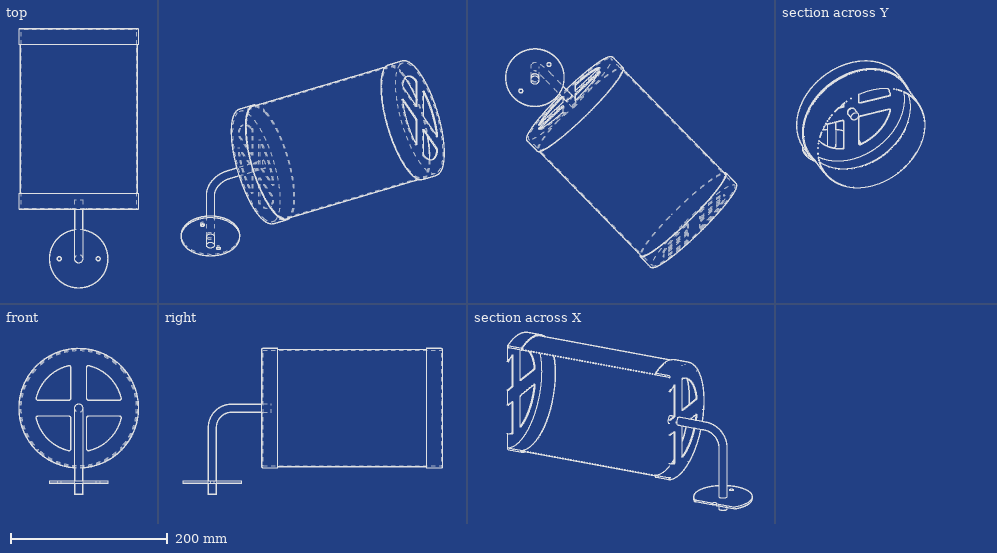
import cadquery as cq
import math

drum_length = 230.8
cap_diameter = 153.0
cap_length = 20.5
cap_edge_radius = 2.0
cap_plate_thickness = 1.5
tube_diameter = 150.0
tube_wall = 1.5

window_radius = 55.5
spoke_width = 20.5
window_corner_radius = 2.0
window_count = 4

overall_length = 331.0
overall_height = 186.5
rod_diameter = 10.5
bend_radius = 25.0
plate_diameter = 75.0
plate_thickness = 3.0
plate_drop = 94.5
screw_hole_diameter = 5.0
screw_hole_spacing = 49.7

rod_tip_y = 12.3

bore_diameter = tube_diameter - 2 * tube_wall
rod_y = drum_length - overall_length + plate_diameter / 2
rod_bottom = cap_diameter / 2 - overall_height
plate_bottom = -plate_drop - plate_thickness / 2


def cylinder_along_y(diameter, start, length):
    """Solid cylinder on the Y axis, running from start towards +Y."""
    return cq.Workplane("XZ", origin=(0, start, 0)).circle(diameter / 2).extrude(-length)


def make_tube():
    """Thin tube between the two caps, with the same bore as their rims."""
    length = drum_length - 2 * cap_length
    outside = cylinder_along_y(tube_diameter, cap_length, length)
    return outside.cut(cylinder_along_y(bore_diameter, cap_length, length))


def make_window():
    """Quarter-disc cutter between two spokes, with rounded corners."""
    inner = spoke_width / 2
    outer = math.sqrt(window_radius**2 - inner**2)
    middle = window_radius / math.sqrt(2)
    return (
        cq.Workplane("XZ")
        .moveTo(inner, inner)
        .lineTo(outer, inner)
        .threePointArc((middle, middle), (inner, outer))
        .close()
        .extrude(-cap_plate_thickness)
        .edges("|Y")
        .fillet(window_corner_radius)
    )


def make_front_cap():
    """Cup that meets the tube's end, with four windows in its end plate."""
    cap = cylinder_along_y(cap_diameter, 0, cap_length).faces("<Y").edges().fillet(cap_edge_radius)
    cap = cap.cut(cylinder_along_y(bore_diameter, cap_plate_thickness, cap_length))
    window = make_window()
    for index in range(window_count):
        cap = cap.cut(window.rotate((0, 0, 0), (0, 1, 0), index * 360 / window_count))
    return cap


def make_rear_cap():
    """Mirror image of the front cap about the middle of the drum."""
    return make_front_cap().mirror("XZ", (0, drum_length / 2, 0))


def make_rod():
    """Round rod that rises through the plate and bends to pass through the front cap."""
    bend_offset = bend_radius * (1 - math.sqrt(0.5))
    path = (
        cq.Workplane("YZ")
        .moveTo(rod_y, rod_bottom)
        .lineTo(rod_y, -bend_radius)
        .threePointArc((rod_y + bend_offset, -bend_offset), (rod_y + bend_radius, 0))
        .lineTo(rod_tip_y, 0)
    )
    section = cq.Workplane("XY", origin=(0, rod_y, rod_bottom)).circle(rod_diameter / 2)
    return section.sweep(path)


def make_plate():
    """Round plate around the rod, with two screw holes along X."""
    base = cq.Workplane("XY", origin=(0, rod_y, plate_bottom))
    plate = base.circle(plate_diameter / 2).circle(rod_diameter / 2).extrude(plate_thickness)
    holes = (
        base.pushPoints([(side * screw_hole_spacing / 2, 0) for side in (-1, 1)])
        .circle(screw_hole_diameter / 2)
        .extrude(plate_thickness)
    )
    return plate.cut(holes)


rod_hole = cylinder_along_y(rod_diameter, 0, cap_plate_thickness)
tube = make_tube()
front_cap = make_front_cap().cut(rod_hole)
rear_cap = make_rear_cap()
rod = make_rod()
plate = make_plate()

result = cq.Compound.makeCompound([tube.val(), front_cap.val(), rear_cap.val(), rod.val(), plate.val()])